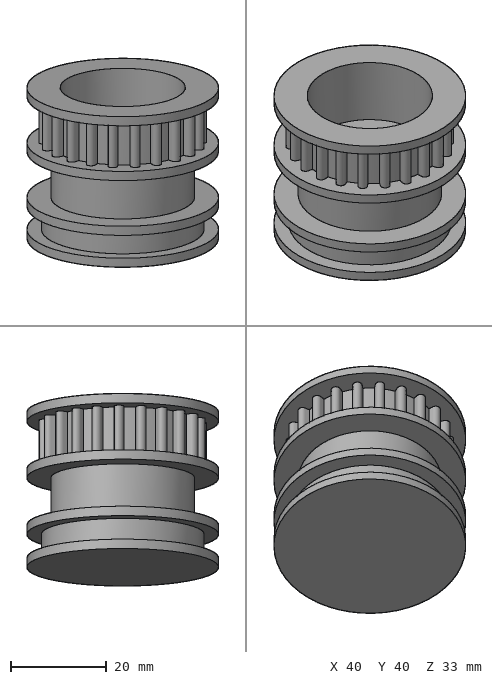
import cadquery as cq

flange_thickness = 2.0
groove_height = 5.0
neck_height = 10.0
tooth_height = 10.0

flange_diameter = 40.0
groove_diameter = 34.0
neck_diameter = 30.0
bore_diameter = 26.1

bore_depth = tooth_height + 2 * flange_thickness

tooth_count = 22
tooth_root_diameter = 31.0
tooth_tip_diameter = 35.0
tooth_width = 2.0
first_tooth_angle = -90.0


def stack_disc(body, diameter, height):
    """Add a concentric disc on the top face of the body."""
    return body.faces(">Z").workplane().circle(diameter / 2).extrude(height)


def belt_teeth(base_height):
    """Ring of straight-sided teeth with half-round tips, standing on the root cylinder."""
    tip_radius = tooth_width / 2
    tip_centre = tooth_tip_diameter / 2 - tip_radius
    flank_start = bore_diameter / 2 + tip_radius
    profile = (
        cq.Workplane("XY", origin=(0, 0, base_height))
        .moveTo(flank_start, -tip_radius)
        .lineTo(tip_centre, -tip_radius)
        .threePointArc((tooth_tip_diameter / 2, 0), (tip_centre, tip_radius))
        .lineTo(flank_start, tip_radius)
        .close()
    )
    tooth = profile.extrude(tooth_height)
    pitch_angle = 360.0 / tooth_count
    teeth = cq.Workplane("XY")
    for index in range(tooth_count):
        angle = first_tooth_angle + index * pitch_angle
        teeth = teeth.add(tooth.rotate((0, 0, 0), (0, 0, 1), angle))
    return teeth.combine()


def pulley():
    """Stack the discs from the bottom up, add the teeth, then bore the top."""
    sections = [
        (groove_diameter, groove_height),
        (flange_diameter, flange_thickness),
        (neck_diameter, neck_height),
        (flange_diameter, flange_thickness),
        (tooth_root_diameter, tooth_height),
        (flange_diameter, flange_thickness),
    ]
    body = cq.Workplane("XY").circle(flange_diameter / 2).extrude(flange_thickness)
    for diameter, height in sections:
        body = stack_disc(body, diameter, height)

    total_height = flange_thickness + sum(height for _, height in sections)
    tooth_base = total_height - flange_thickness - tooth_height
    body = body.union(belt_teeth(tooth_base))
    return body.faces(">Z").workplane().circle(bore_diameter / 2).cutBlind(-bore_depth)


result = pulley()